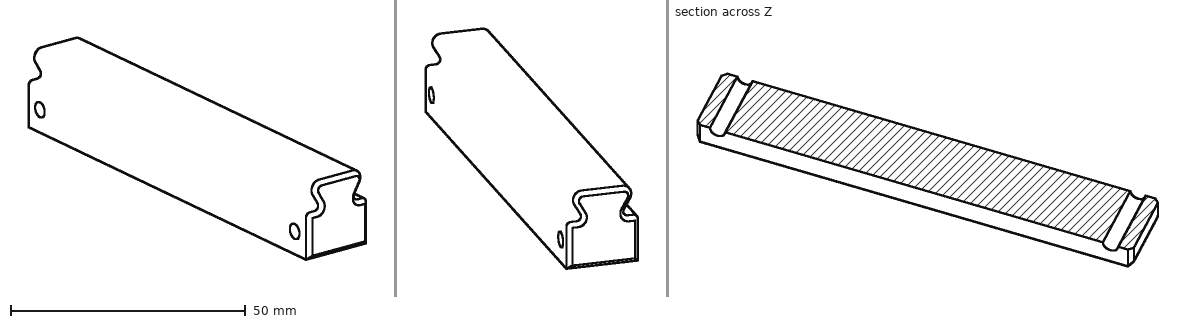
import cadquery as cq
import math

QUARTER_TURN = math.radians(90.0)

LENGTH = 100.0
BASE_WIDTH = 16.0
HEIGHT = 17.5
SHOULDER_HEIGHT = 10.6

END_CHAMFER = 1.0
CONE_TIP_RADIUS = 0.001
SHOULDER_RADIUS = END_CHAMFER + CONE_TIP_RADIUS

HEAD_WIDTH = 13.05
HEAD_RADIUS = 2.0
GROOVE_RADIUS = 1.0
FLANK_ANGLE = math.radians(30.0)

HOLE_DIAMETER = 3.4
HOLE_INSET = 5.0
HOLE_HEIGHT = 5.25


def arc_point(center, radius, angle):
    """Point on a circle in the YZ plane, with the angle measured from +Y."""
    return (center[0] + radius * math.cos(angle), center[1] + radius * math.sin(angle))


def half_section():
    """Cross-section of the +Y half of the rail, closed along the centre plane."""
    half_base = BASE_WIDTH / 2
    shoulder_center = (half_base - SHOULDER_RADIUS, SHOULDER_HEIGHT - SHOULDER_RADIUS)
    head_center = (HEAD_WIDTH / 2 - HEAD_RADIUS, HEIGHT - HEAD_RADIUS)
    flank_top = arc_point(head_center, HEAD_RADIUS, -FLANK_ANGLE)

    groove_height = SHOULDER_HEIGHT + GROOVE_RADIUS
    flank_bottom_height = groove_height + GROOVE_RADIUS * math.sin(FLANK_ANGLE)
    flank_drop = flank_top[1] - flank_bottom_height
    flank_bottom = (flank_top[0] - flank_drop * math.tan(FLANK_ANGLE), flank_bottom_height)
    groove_center = (flank_bottom[0] + GROOVE_RADIUS * math.cos(FLANK_ANGLE), groove_height)

    return (
        cq.Workplane("YZ", origin=(-LENGTH / 2, 0, 0))
        .lineTo(half_base, 0)
        .lineTo(half_base, shoulder_center[1])
        .threePointArc(
            arc_point(shoulder_center, SHOULDER_RADIUS, QUARTER_TURN / 2),
            (shoulder_center[0], SHOULDER_HEIGHT),
        )
        .lineTo(groove_center[0], SHOULDER_HEIGHT)
        .threePointArc(arc_point(groove_center, GROOVE_RADIUS, math.pi), flank_bottom)
        .lineTo(*flank_top)
        .threePointArc(
            arc_point(head_center, HEAD_RADIUS, (QUARTER_TURN - FLANK_ANGLE) / 2),
            (head_center[0], HEIGHT),
        )
        .lineTo(0, HEIGHT)
    )


def rail_body():
    """Full symmetric rail with both end outlines chamfered."""
    body = half_section().mirrorY().extrude(LENGTH)
    return body.faces("<X or >X").chamfer(END_CHAMFER)


def cross_holes():
    """Round cutters crossing the base along Y, one near each end."""
    hole_offset = LENGTH / 2 - HOLE_INSET
    return (
        cq.Workplane("XZ")
        .pushPoints([(-hole_offset, HOLE_HEIGHT), (hole_offset, HOLE_HEIGHT)])
        .circle(HOLE_DIAMETER / 2)
        .extrude(BASE_WIDTH, both=True)
    )


result = rail_body().cut(cross_holes())